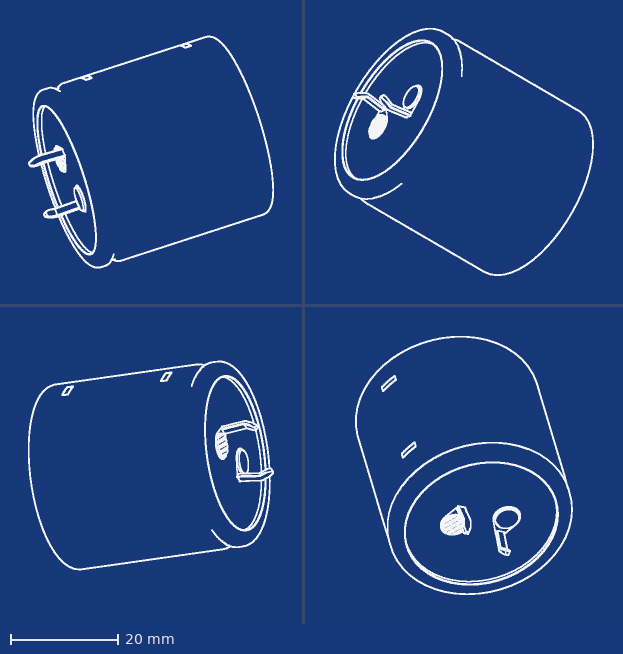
import cadquery as cq
import math


can_diameter = 34.95
can_length = 35.0
overall_length = 41
can_radius = can_diameter / 2
end_round = 1.2

groove_diameter = 33.65
groove_centre_y = 3.65
groove_floor_length = 0.85
groove_lip_radius = 0.85
groove_root_radius = 0.5

recess_rim_diameter = 29.2
recess_diameter = 29.0
recess_rim_depth = 0.1
recess_depth = 0.85

mark_floor_diameter = 34.75
mark_angle = 134.3
mark_length = 3.45
mark_width = 1.2
mark_positions_y = (8.95, 28.95)

terminal_pitch = 10.0
plate_diameter = 5.15
plate_thickness = 0.4
rivet_diameter = 4.5
rivet_height = 0.4
terminal_angle = 69.5

lead_width = 1.5
lead_thickness = 0.78
lead_edge_chamfer = 0.12
lead_root_offset = 3.7
lead_bend_offset = 4.3
lead_tip_angle = 26
lead_bend_y = -3.53
lead_tip_y = can_length - overall_length
lead_tip_width = 0.5
lead_taper_start_y = -4.5
lead_taper_fullness = 0.65

rivet_groove_width = 0.39
rivet_groove_pitch = 1.0
rivet_groove_depth = 0.12
rivet_groove_angle = 30
rivet_groove_count = 5
grooved_side = -1


def can_blank():
    """Revolved can with rounded ends and the S-sided crimp groove."""
    groove_radius = groove_diameter / 2
    depth = can_radius - groove_radius
    sweep = math.acos(1 - depth / (groove_lip_radius + groove_root_radius))
    lip_run = groove_lip_radius * math.sin(sweep)
    root_run = groove_root_radius * math.sin(sweep)
    inflection_radius = can_radius - groove_lip_radius * (1 - math.cos(sweep))
    half_floor = groove_floor_length / 2
    half_inflection = half_floor + root_run
    half_mouth = half_inflection + lip_run

    lip_mid = (
        can_radius - groove_lip_radius * (1 - math.cos(sweep / 2)),
        half_mouth - groove_lip_radius * math.sin(sweep / 2),
    )
    root_mid = (
        groove_radius + groove_root_radius * (1 - math.cos(sweep / 2)),
        half_floor + groove_root_radius * math.sin(sweep / 2),
    )

    profile = (
        cq.Workplane("XY")
        .moveTo(0, 0)
        .lineTo(can_radius, 0)
        .lineTo(can_radius, groove_centre_y - half_mouth)
        .threePointArc(
            (lip_mid[0], groove_centre_y - lip_mid[1]),
            (inflection_radius, groove_centre_y - half_inflection),
        )
        .threePointArc(
            (root_mid[0], groove_centre_y - root_mid[1]),
            (groove_radius, groove_centre_y - half_floor),
        )
        .lineTo(groove_radius, groove_centre_y + half_floor)
        .threePointArc(
            (root_mid[0], groove_centre_y + root_mid[1]),
            (inflection_radius, groove_centre_y + half_inflection),
        )
        .threePointArc(
            (lip_mid[0], groove_centre_y + lip_mid[1]),
            (can_radius, groove_centre_y + half_mouth),
        )
        .lineTo(can_radius, can_length)
        .lineTo(0, can_length)
        .close()
    )
    blank = profile.revolve(360, (0, 0, 0), (0, 1, 0))
    return blank.faces("<Y or >Y").edges().fillet(end_round)


def end_recess():
    """Stepped disc removed from the terminal end."""
    rim = cq.Workplane("XZ").circle(recess_rim_diameter / 2).extrude(-recess_rim_depth)
    floor = cq.Workplane("XZ").circle(recess_diameter / 2).extrude(-recess_depth)
    return rim.union(floor)


def polarity_mark(y):
    """Curved tool that sinks one rectangular mark to a constant depth."""
    block = (
        cq.Workplane("XY")
        .box(can_radius, mark_width, mark_length)
        .translate((can_radius, y, 0))
        .rotate((0, 0, 0), (0, 1, 0), -mark_angle)
    )
    core = cq.Workplane("XZ").circle(mark_floor_diameter / 2).extrude(-can_length)
    return block.cut(core)


def terminal_plate():
    """Teardrop plate flush with the recess floor, its narrow end as wide as the lead."""
    radius = plate_diameter / 2
    end_x = lead_root_offset + lead_thickness / 2
    end_y = lead_width / 2
    reach = math.hypot(end_x, end_y)
    tangent = math.atan2(end_y, end_x) + math.acos(radius / reach)
    tangent_x = radius * math.cos(tangent)
    tangent_y = radius * math.sin(tangent)
    return (
        cq.Workplane("XZ", origin=(0, recess_depth, 0))
        .moveTo(end_x, -end_y)
        .lineTo(end_x, end_y)
        .lineTo(tangent_x, tangent_y)
        .threePointArc((-radius, 0), (tangent_x, -tangent_y))
        .close()
        .extrude(-plate_thickness)
    )


def rivet_head():
    return (
        cq.Workplane("XZ", origin=(0, recess_depth, 0))
        .circle(rivet_diameter / 2)
        .extrude(rivet_height)
    )


def lead():
    """Lead with one rounded bend back towards the rivet axis and a tip narrowed by two arcs."""
    root_y = recess_depth + plate_thickness / 2
    shank_run = root_y - lead_bend_y
    shank_angle = math.atan2(lead_bend_offset - lead_root_offset, shank_run)
    root_x = lead_root_offset - lead_thickness / 2
    bend_x = lead_bend_offset - lead_thickness / 2
    tip_angle = math.radians(lead_tip_angle)
    tip_inner_y = lead_tip_y + lead_thickness * math.sin(tip_angle)
    tip_inner_x = bend_x - (lead_bend_y - tip_inner_y) * math.tan(tip_angle)

    def bend_outside(angle):
        """Point at the given angle on the outer arc around the inner corner of the bend."""
        return (
            bend_x + lead_thickness * math.cos(angle),
            lead_bend_y - lead_thickness * math.sin(angle),
        )

    strip = (
        cq.Workplane("XY")
        .moveTo(root_x, root_y)
        .lineTo(bend_x, lead_bend_y)
        .lineTo(tip_inner_x, tip_inner_y)
        .lineTo(tip_inner_x + lead_thickness * math.cos(tip_angle), lead_tip_y)
        .lineTo(*bend_outside(tip_angle))
        .threePointArc(bend_outside((tip_angle - shank_angle) / 2), bend_outside(-shank_angle))
        .lineTo(root_x + lead_thickness / math.cos(shank_angle), root_y)
        .close()
        .extrude(lead_width / 2, both=True)
        .faces("<Z or >Z")
        .edges()
        .chamfer(lead_edge_chamfer)
    )

    half_width = lead_width / 2
    half_tip = lead_tip_width / 2
    taper_mid_y = (lead_taper_start_y + lead_tip_y) / 2
    taper_mid = half_tip + (half_width - half_tip) * lead_taper_fullness
    outline = (
        cq.Workplane("YZ")
        .moveTo(root_y, -half_width)
        .lineTo(root_y, half_width)
        .lineTo(lead_taper_start_y, half_width)
        .threePointArc((taper_mid_y, taper_mid), (lead_tip_y, half_tip))
        .lineTo(lead_tip_y, -half_tip)
        .threePointArc((taper_mid_y, -taper_mid), (lead_taper_start_y, -half_width))
        .close()
        .extrude(terminal_pitch)
    )
    return strip.intersect(outline)


def rivet_grooves():
    """Parallel grooves across the face of a rivet head."""
    middle = (rivet_groove_count - 1) / 2
    groove_y = recess_depth - rivet_height + rivet_groove_depth / 2
    grooves = cq.Workplane("XY")
    for i in range(rivet_groove_count):
        groove = cq.Workplane("XY").box(rivet_diameter, rivet_groove_depth, rivet_groove_width)
        grooves = grooves.add(groove.translate((0, groove_y, (i - middle) * rivet_groove_pitch)))
    return grooves.combine()


def terminal(side):
    """Terminal on the -X side (side = -1) or, turned half round, on the +X side (side = 1)."""
    turn = terminal_angle if side < 0 else terminal_angle + 180
    body = terminal_plate().union(rivet_head()).union(lead())
    body = body.rotate((0, 0, 0), (0, 1, 0), -turn)
    if side == grooved_side:
        body = body.cut(rivet_grooves().rotate((0, 0, 0), (0, 1, 0), -rivet_groove_angle))
    return body.translate((side * terminal_pitch / 2, 0, 0))


def can(terminals):
    """Can with its end recess, polarity marks and a seat for each terminal plate."""
    body = can_blank().cut(end_recess())
    for y in mark_positions_y:
        body = body.cut(polarity_mark(y))
    for fitted in terminals:
        body = body.cut(fitted)
    return body


terminals = [terminal(side) for side in (-1, 1)]
housing = can(terminals)

result = cq.Compound.makeCompound([housing.val(), *[fitted.val() for fitted in terminals]])